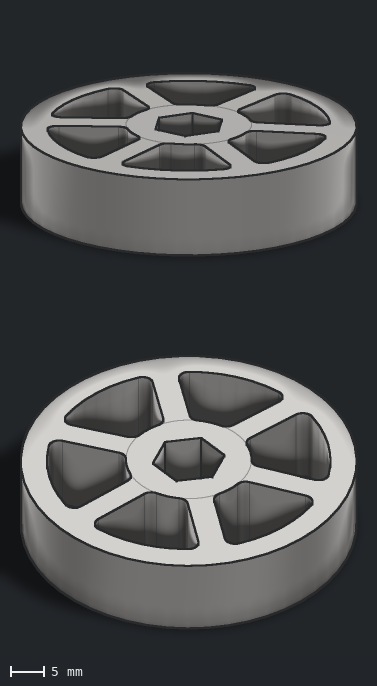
import cadquery as cq
import math

wheel_diameter = 50.8
hub_thickness = 12.7
hub_diameter = 19.0
face_slope_deg = 1.0

hex_sides = 6
hex_across_flats = 9.55

spoke_count = 6
spoke_width = 4.05
window_outer_radius = 21.45
window_corner_radius = 1.6

wheel_radius = wheel_diameter / 2
hub_radius = hub_diameter / 2
half_hub = hub_thickness / 2
half_rim = half_hub - (wheel_radius - hub_radius) * math.tan(math.radians(face_slope_deg))
hex_half_angle_deg = 180 / hex_sides
hex_across_corners = hex_across_flats / math.cos(math.radians(hex_half_angle_deg))
spoke_pitch_deg = 360 / spoke_count


def polar_point(radius, angle):
    return radius * math.cos(angle), radius * math.sin(angle)


def disc_blank():
    """Solid disc, centred on the origin, with gently coned faces outside the flat hub."""
    return (
        cq.Workplane("XZ")
        .moveTo(0, -half_hub)
        .lineTo(hub_radius, -half_hub)
        .lineTo(wheel_radius, -half_rim)
        .lineTo(wheel_radius, half_rim)
        .lineTo(hub_radius, half_hub)
        .lineTo(0, half_hub)
        .close()
        .revolve(360, (0, 0, 0), (0, 1, 0))
    )


def window():
    """Rounded cutter between the spoke along +X and the next spoke."""
    pitch = math.radians(spoke_pitch_deg)
    middle = pitch / 2

    hub_start = math.asin(spoke_width / 2 / hub_radius)
    rim_start = math.asin(spoke_width / 2 / window_outer_radius)

    return (
        cq.Workplane("XY")
        .workplane(offset=-half_hub)
        .moveTo(*polar_point(hub_radius, hub_start))
        .lineTo(*polar_point(window_outer_radius, rim_start))
        .threePointArc(
            polar_point(window_outer_radius, middle),
            polar_point(window_outer_radius, pitch - rim_start),
        )
        .lineTo(*polar_point(hub_radius, pitch - hub_start))
        .threePointArc(
            polar_point(hub_radius, middle),
            polar_point(hub_radius, hub_start),
        )
        .close()
        .extrude(hub_thickness)
        .edges("|Z")
        .fillet(window_corner_radius)
    )


def hex_bore():
    """Through cutter with flats facing +X and -X."""
    return (
        cq.Workplane("XY")
        .polygon(hex_sides, hex_across_corners)
        .extrude(half_hub, both=True)
        .rotate((0, 0, 0), (0, 0, 1), hex_half_angle_deg)
    )


wheel = disc_blank()

window_cutter = window()
for index in range(spoke_count):
    wheel = wheel.cut(window_cutter.rotate((0, 0, 0), (0, 0, 1), index * spoke_pitch_deg))

result = wheel.cut(hex_bore())